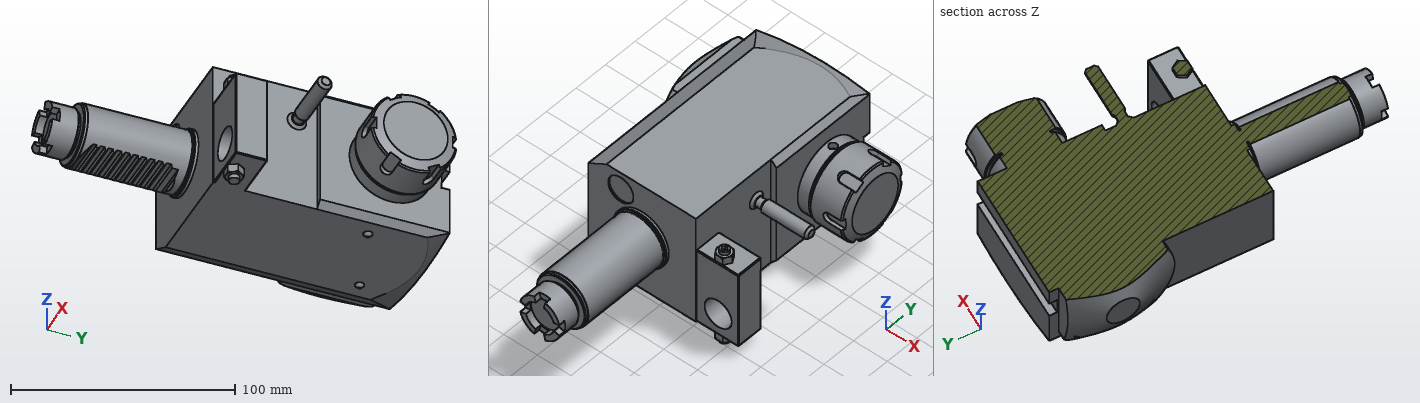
import cadquery as cq
import math

OVERLAP = 1.0

BODY_LENGTH = 113.8
BODY_HALF = 32.0
SIDE_BEVEL_X = 11.0
SIDE_BEVEL_Z = SIDE_BEVEL_X * math.tan(math.radians(30))
PANEL_THICK = 3.3
PANEL_START = 50.7
BACK_ARC_X = 9.2
BACK_ARC_RADIUS = 155.5
BACK_ARC_HEIGHT = 31.1
BACK_BEVEL_ANGLE = 15
BACK_SLOT_WIDTH = 9.9
BACK_SLOT_DEPTH = 4.0
PLUG_X, PLUG_Z = -12.6, 21.6
PLUG_RADIUS = 7.5
PLUG_DEPTH = 1.0
BUTTON_RADIUS = 2.2
BUTTON_TIP_RADIUS = 0.5
BUTTON_HEIGHT = 1.6
BUTTON_SPOTS = [(-12.8, 90.8), (24.0, 78.9)]

SPINDLE_Y = 85.0
PANEL_X = BODY_HALF + PANEL_THICK

CAP_TIP_X = -48.1
CAP_RIM_X = -37.1
CAP_RADIUS = 32.0
CAP_TIP_RADIUS = 8.5
CAP_HALF_HEIGHT = 22.9
CAP_BACK_Y = 109.0
CAP_CORNER = 2.2
CAP_BEVEL_X = -38.0
CAP_BEVEL_ANGLE = 30
CAP_SCREW_OFFSET = 17.5
CAP_SCREW_RADIUS = 2.7
CAP_SCREW_X = -39.5

COLLAR_RADIUS = 20.0
COLLAR_END_X = 42.5
NUT_NECK_RADIUS = 18.7
NUT_START_X = 43.4
NUT_END_X = 63.9
NUT_RADIUS = 20.9
NUT_FACE_RADIUS = 15.5
NUT_EDGE = 0.7
BACK_EDGE = 0.5
NUT_FACE_SLOPE = 1.6
NUT_SLOT_COUNT = 6
NUT_SLOT_WIDTH = 5.9
NUT_SLOT_START_X = 51.5
NUT_SLOT_FLOOR = 18.5
COLLAR_HOLE_X = 39.0
COLLAR_HOLE_RADIUS = 2.2
COLLAR_HOLE_DEPTH = 3.7

SHANK_RADIUS = 15.0
FLANGE_RADIUS = 16.0
FLANGE_END = 1.8
FLANGE_CHAMFER = 0.4
RELIEF_RADIUS = 14.5
SHANK_START = 2.5
SHANK_MAIN_END = 53.3
SHANK_END = 55.0
SHANK_END_RADIUS = 14.6
NOSE_NECK_RADIUS = 10.8
NOSE_START = 56.2
NOSE_END = 69.2
NOSE_RADIUS = 12.0
SHANK_EDGE = 0.5
NOSE_BORE_RADIUS = 8.6
NOSE_BORE_DEPTH = 4.0
NOSE_SLOT_OUTER_WIDTH = 6.8
NOSE_SLOT_INNER_WIDTH = 5.0
NOSE_SLOT_DEPTH = 3.5
NOSE_SLOT_COUNT = 4

TOOTH_ROOT_Z = -10.6
TOOTH_TIP_Z = -11.7
TOOTH_COUNT = 9
TOOTH_PITCH = 4.0
TOOTH_FIRST = 14.0
TOOTH_TIP_WIDTH = 0.4
TOOTH_ROOT_WIDTH = 2.0
RACK_START = 7.1
RACK_LEDGE_END = 10.0
RACK_RAMP_START = 48.9
RACK_START_CHAMFER = 1.1

PIN_Y, PIN_Z = 40.8, 13.9
PIN_END_X = 64.8
PIN_RADIUS = 3.5
PIN_CHAMFER = 1.37
PIN_START_X = 37.9
PIN_BACK_CHAMFER = 1.0
PIN_NECK_RADIUS = 2.5
PIN_NECK_X = 33.5
PIN_BASE_RADIUS = 4.5
PIN_BASE_TOP_RADIUS = 3.1

BRACKET_X = 57.0
BRACKET_TOP = 12.3
BRACKET_FRONT, BRACKET_BACK = 0.4, 16.0
BRACKET_CHAMFER = 0.45
BORE_X, BORE_Z = 44.8, -19.0
BORE_RADIUS = 8.0
SCREW_Y = 4.8
HEX_CORNERS = 9.2
HEX_HEIGHT = 4.2
HEX_CHAMFER = 0.5
STUD_RADIUS = 2.5
STUD_TOP_LENGTH = 6.2
STUD_BOTTOM_LENGTH = 6.4
SOCKET_CORNERS = 3.1
SOCKET_DEPTH = 1.8


def box(x0, x1, y0, y1, z0, z1):
    return cq.Workplane("XY").box(x1 - x0, y1 - y0, z1 - z0, centered=False).translate((x0, y0, z0))


def turned_x(points, y, z):
    """Revolve (x, radius) points about the line along X through y, z."""
    profile = [(points[0][0], 0)] + points + [(points[-1][0], 0)]
    solid = cq.Workplane("XY").polyline(profile).close().revolve(360, (0, 0), (1, 0))
    return solid.translate((0, y, z))


def turned_y(points, x, z):
    """Revolve (radius, y) points about the line along Y through x, z."""
    profile = [(0, points[0][1])] + points + [(0, points[-1][1])]
    solid = cq.Workplane("XY").polyline(profile).close().revolve(360, (0, 0), (0, 1))
    return solid.translate((x, 0, z))


def along_y(points, y0, y1):
    """Extrude an outline of (x, z) points from y0 to y1."""
    return cq.Workplane("XZ", origin=(0, y0, 0)).polyline(points).close().extrude(y0 - y1)


def make_body():
    h = BODY_HALF
    left = -h + SIDE_BEVEL_X
    shoulder = h - SIDE_BEVEL_Z
    block = along_y(
        [(left, h), (h, h), (h, -h), (left, -h), (-h, -shoulder), (-h, shoulder)],
        0, BODY_LENGTH,
    )
    pad_edge = h - PANEL_THICK
    pad = along_y(
        [(0, h), (h, h), (PANEL_X, pad_edge), (PANEL_X, -pad_edge), (h, -h), (0, -h)],
        PANEL_START, BODY_LENGTH,
    )
    body = block.union(pad)

    front_radius = BACK_ARC_RADIUS + BODY_LENGTH * math.tan(math.radians(BACK_BEVEL_ANGLE))
    axis_z = BACK_ARC_HEIGHT - BACK_ARC_RADIUS
    for z in (axis_z, -axis_z):
        crown = turned_y([(front_radius, 0), (BACK_ARC_RADIUS, BODY_LENGTH)], BACK_ARC_X, z)
        body = body.intersect(crown)

    slot_half = BACK_SLOT_WIDTH / 2
    body = body.cut(box(-h, PANEL_X, BODY_LENGTH - BACK_SLOT_DEPTH, BODY_LENGTH, -slot_half, slot_half))
    return body.cut(turned_y([(PLUG_RADIUS, 0), (PLUG_RADIUS, PLUG_DEPTH)], PLUG_X, PLUG_Z))


def make_button(x, y):
    base = cq.Workplane("XY", origin=(x, y, -BODY_HALF)).circle(BUTTON_RADIUS)
    return base.workplane(offset=-BUTTON_HEIGHT).circle(BUTTON_TIP_RADIUS).loft()


def make_cap():
    root_x = -BODY_HALF + OVERLAP
    cone = turned_x(
        [(CAP_TIP_X, CAP_TIP_RADIUS), (CAP_RIM_X, CAP_RADIUS), (root_x, CAP_RADIUS)],
        SPINDLE_Y, 0,
    )
    z = CAP_HALF_HEIGHT
    limits = box(CAP_TIP_X, root_x, SPINDLE_Y - CAP_RADIUS, CAP_BACK_Y, -z, z)
    limits = limits.edges("|X and >Y").fillet(CAP_CORNER)
    cap = cone.intersect(limits)

    bevel_tip_z = z - (CAP_BEVEL_X - CAP_TIP_X) * math.tan(math.radians(CAP_BEVEL_ANGLE))
    for side in (1, -1):
        bevel = along_y(
            [(CAP_BEVEL_X, side * z), (CAP_TIP_X, side * z), (CAP_TIP_X, side * bevel_tip_z)],
            SPINDLE_Y - CAP_RADIUS, CAP_BACK_Y,
        )
        cap = cap.cut(bevel)

    for dy in (-CAP_SCREW_OFFSET, CAP_SCREW_OFFSET):
        for dz in (-CAP_SCREW_OFFSET, CAP_SCREW_OFFSET):
            head = [(CAP_SCREW_X, CAP_SCREW_RADIUS), (root_x, CAP_SCREW_RADIUS)]
            cap = cap.union(turned_x(head, SPINDLE_Y + dy, dz))
    return cap


def make_nut():
    cone_x = NUT_END_X - NUT_FACE_SLOPE
    nut = turned_x(
        [
            (PANEL_X - OVERLAP, COLLAR_RADIUS),
            (COLLAR_END_X - BACK_EDGE, COLLAR_RADIUS),
            (COLLAR_END_X, COLLAR_RADIUS - BACK_EDGE),
            (COLLAR_END_X, NUT_NECK_RADIUS),
            (NUT_START_X, NUT_NECK_RADIUS),
            (NUT_START_X, NUT_RADIUS - BACK_EDGE),
            (NUT_START_X + BACK_EDGE, NUT_RADIUS),
            (cone_x - NUT_EDGE, NUT_RADIUS),
            (cone_x, NUT_RADIUS - NUT_EDGE),
            (NUT_END_X, NUT_FACE_RADIUS),
        ],
        SPINDLE_Y, 0,
    )
    round_x = NUT_SLOT_START_X + NUT_SLOT_WIDTH / 2
    half = NUT_SLOT_WIDTH / 2
    slot = (
        cq.Workplane("XY", origin=(0, SPINDLE_Y, NUT_SLOT_FLOOR))
        .moveTo(NUT_END_X, half).lineTo(round_x, half)
        .threePointArc((NUT_SLOT_START_X, 0), (round_x, -half))
        .lineTo(NUT_END_X, -half).close()
        .extrude(NUT_RADIUS)
    )
    axis_start = (0, SPINDLE_Y, 0)
    axis_end = (1, SPINDLE_Y, 0)
    for i in range(NUT_SLOT_COUNT):
        angle = 90 + i * 360 / NUT_SLOT_COUNT
        nut = nut.cut(slot.rotate(axis_start, axis_end, angle))

    hole = (
        cq.Workplane("XY", origin=(COLLAR_HOLE_X, SPINDLE_Y, COLLAR_RADIUS))
        .circle(COLLAR_HOLE_RADIUS).extrude(-COLLAR_HOLE_DEPTH)
    )
    return nut.cut(hole)


def make_rack_cut():
    """Space below the toothed profile, cut across the whole shank."""
    bottom = -FLANGE_RADIUS
    ramp_drop = TOOTH_ROOT_Z - bottom
    flank = (TOOTH_PITCH - TOOTH_TIP_WIDTH - TOOTH_ROOT_WIDTH) / 2
    chamfer_z = -SHANK_RADIUS + RACK_START_CHAMFER
    points = [
        (-(RACK_START - RACK_START_CHAMFER), bottom),
        (-(RACK_START - RACK_START_CHAMFER), -SHANK_RADIUS),
        (-RACK_START, chamfer_z),
        (-RACK_START, TOOTH_TIP_Z),
        (-RACK_LEDGE_END, TOOTH_TIP_Z),
        (-(RACK_LEDGE_END + flank), TOOTH_ROOT_Z),
    ]
    for i in range(TOOTH_COUNT):
        tip = TOOTH_FIRST + i * TOOTH_PITCH
        tip_half = TOOTH_TIP_WIDTH / 2
        points += [
            (-(tip - tip_half - flank), TOOTH_ROOT_Z),
            (-(tip - tip_half), TOOTH_TIP_Z),
            (-(tip + tip_half), TOOTH_TIP_Z),
            (-(tip + tip_half + flank), TOOTH_ROOT_Z),
        ]
    points += [
        (-RACK_RAMP_START, TOOTH_ROOT_Z),
        (-(RACK_RAMP_START + ramp_drop), bottom),
    ]
    return cq.Workplane("YZ").polyline(points).close().extrude(FLANGE_RADIUS, both=True)


def make_shank():
    shank = turned_y(
        [
            (FLANGE_RADIUS, 0),
            (FLANGE_RADIUS, -FLANGE_END + FLANGE_CHAMFER),
            (FLANGE_RADIUS - FLANGE_CHAMFER, -FLANGE_END),
            (RELIEF_RADIUS, -FLANGE_END),
            (RELIEF_RADIUS, -SHANK_START),
            (SHANK_RADIUS, -SHANK_START),
            (SHANK_RADIUS, -SHANK_MAIN_END),
            (SHANK_END_RADIUS, -SHANK_MAIN_END),
            (SHANK_END_RADIUS, -SHANK_END + SHANK_EDGE),
            (SHANK_END_RADIUS - SHANK_EDGE, -SHANK_END),
            (NOSE_NECK_RADIUS, -SHANK_END),
            (NOSE_NECK_RADIUS, -NOSE_START),
            (NOSE_RADIUS - SHANK_EDGE, -NOSE_START),
            (NOSE_RADIUS, -NOSE_START - SHANK_EDGE),
            (NOSE_RADIUS, -NOSE_END),
        ],
        0, 0,
    )
    shank = shank.cut(make_rack_cut())

    bore_floor = -NOSE_END + NOSE_BORE_DEPTH
    shank = shank.cut(turned_y([(NOSE_BORE_RADIUS, -NOSE_END), (NOSE_BORE_RADIUS, bore_floor)], 0, 0))

    inner = NOSE_SLOT_INNER_WIDTH / 2
    outer = NOSE_SLOT_OUTER_WIDTH / 2
    slot = along_y(
        [
            (0, inner),
            (NOSE_BORE_RADIUS, inner),
            (NOSE_RADIUS, outer),
            (NOSE_RADIUS, -outer),
            (NOSE_BORE_RADIUS, -inner),
            (0, -inner),
        ],
        -NOSE_END, -NOSE_END + NOSE_SLOT_DEPTH,
    )
    for i in range(NOSE_SLOT_COUNT):
        shank = shank.cut(slot.rotate((0, 0, 0), (0, 1, 0), i * 360 / NOSE_SLOT_COUNT))
    return shank


def make_pin():
    return turned_x(
        [
            (BODY_HALF - OVERLAP, PIN_BASE_RADIUS),
            (BODY_HALF, PIN_BASE_RADIUS),
            (PIN_NECK_X, PIN_BASE_TOP_RADIUS),
            (PIN_NECK_X, PIN_NECK_RADIUS),
            (PIN_START_X - PIN_BACK_CHAMFER, PIN_NECK_RADIUS),
            (PIN_START_X, PIN_RADIUS),
            (PIN_END_X - PIN_CHAMFER, PIN_RADIUS),
            (PIN_END_X, PIN_RADIUS - PIN_CHAMFER),
        ],
        PIN_Y, PIN_Z,
    )


def make_screw(z, direction, stud_length):
    """Hex nut on a stud standing on the bracket face at height z."""
    base = cq.Workplane("XY", origin=(BORE_X, SCREW_Y, z))
    hexagon = base.polygon(6, HEX_CORNERS).extrude(direction * HEX_HEIGHT)
    outer_face = ">Z" if direction > 0 else "<Z"
    turned_blank = base.circle(HEX_CORNERS / 2).extrude(direction * HEX_HEIGHT)
    hexagon = hexagon.intersect(turned_blank.faces(outer_face).chamfer(HEX_CHAMFER))
    return hexagon.union(base.circle(STUD_RADIUS).extrude(direction * stud_length))


def make_bracket():
    bracket = box(BODY_HALF, BRACKET_X, BRACKET_FRONT, BRACKET_BACK, -BODY_HALF, BRACKET_TOP)
    bracket = bracket.edges("not <X").chamfer(BRACKET_CHAMFER)
    bore = [(BORE_RADIUS, BRACKET_FRONT), (BORE_RADIUS, BRACKET_BACK)]
    bracket = bracket.cut(turned_y(bore, BORE_X, BORE_Z))

    bracket = bracket.union(make_screw(BRACKET_TOP, 1, STUD_TOP_LENGTH))
    bracket = bracket.union(make_screw(-BODY_HALF, -1, STUD_BOTTOM_LENGTH))
    socket = (
        cq.Workplane("XY", origin=(BORE_X, SCREW_Y, BRACKET_TOP + STUD_TOP_LENGTH))
        .polygon(6, SOCKET_CORNERS).extrude(-SOCKET_DEPTH)
    )
    return bracket.cut(socket)


result = make_body()
for piece in (make_cap(), make_nut(), make_shank(), make_pin(), make_bracket()):
    result = result.union(piece)
for button_x, button_y in BUTTON_SPOTS:
    result = result.union(make_button(button_x, button_y))